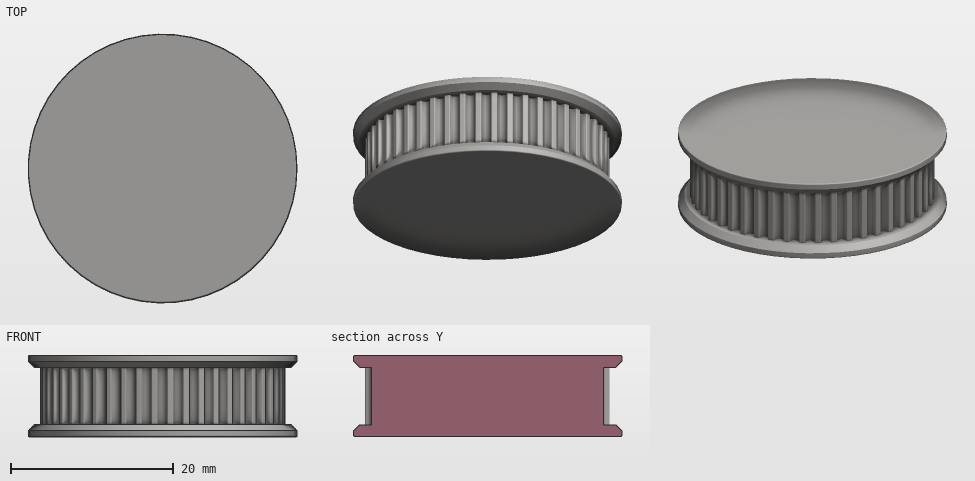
import cadquery as cq
import math

flange_diameter = 33.0
total_height = 10.0

flange_thickness = 1.5
flange_bevel = 0.75
outer_edge_radius = 0.15

tooth_count = 48
belt_pitch = 2.0
pitch_line_offset = 0.254
groove_depth = 0.75
groove_radius = 0.555
flank_radius = 1.0
tip_radius = 0.15

flange_radius = flange_diameter / 2
tip_circle_radius = tooth_count * belt_pitch / (2 * math.pi) - pitch_line_offset
flank_center_offset = math.sqrt((flank_radius - groove_radius) ** 2 - (groove_depth - groove_radius) ** 2)
belt_height = total_height - 2 * flange_thickness
tooth_angle = 360 / tooth_count


def make_flanged_body():
    """Solid of revolution: two bevelled, edge-rounded flanges joined by the toothless hub."""
    bevel_radius = flange_radius - flange_bevel
    bevel_start = flange_thickness - flange_bevel
    lower_half = [
        (flange_radius, 0),
        (flange_radius, bevel_start),
        (bevel_radius, flange_thickness),
        (tip_circle_radius, flange_thickness),
    ]
    upper_half = [(radius, total_height - z) for radius, z in reversed(lower_half)]
    section = [(0, 0)] + lower_half + upper_half + [(0, total_height)]
    body = cq.Workplane("XZ").polyline(section).close().revolve(360, (0, 0), (0, 1))
    return body.faces("<Z or >Z").edges().fillet(outer_edge_radius)


def point_on_circle(center, radius, angle):
    """Point at an angle (radians) on a circle."""
    return (center[0] + radius * math.cos(angle), center[1] + radius * math.sin(angle))


def mirrored(point):
    """Mirror a point across the groove's centre line, the X axis."""
    return (point[0], -point[1])


def make_groove_cutter():
    """One groove on the +X side: round bottom, curved flanks, rounded tooth tips.

    The points and angles below belong to the +Y half; the other half is its mirror image.
    """
    flank_center = (tip_circle_radius, -flank_center_offset)
    bottom_center = (tip_circle_radius - groove_depth + groove_radius, 0)
    groove_bottom = (tip_circle_radius - groove_depth, 0)
    flank_start_angle = math.atan2(flank_center_offset, bottom_center[0] - flank_center[0])

    flank_distance = math.hypot(*flank_center)
    tip_distance = tip_circle_radius - tip_radius
    flank_to_tip = flank_radius + tip_radius
    axis_angle_cosine = (flank_distance**2 + tip_distance**2 - flank_to_tip**2) / (
        2 * flank_distance * tip_distance
    )
    tip_angle = math.atan2(flank_center[1], flank_center[0]) + math.acos(axis_angle_cosine)
    tip_center = point_on_circle((0, 0), tip_distance, tip_angle)
    flank_end_angle = math.atan2(tip_center[1] - flank_center[1], tip_center[0] - flank_center[0])

    flank_start = point_on_circle(flank_center, flank_radius, flank_start_angle)
    flank_middle = point_on_circle(flank_center, flank_radius, (flank_start_angle + flank_end_angle) / 2)
    flank_end = point_on_circle(flank_center, flank_radius, flank_end_angle)
    tip_middle_angle = (flank_end_angle - math.pi + tip_angle) / 2
    tip_middle = point_on_circle(tip_center, tip_radius, tip_middle_angle)
    tip_end = point_on_circle((0, 0), tip_circle_radius, tip_angle)

    return (
        cq.Workplane("XY", origin=(0, 0, flange_thickness))
        .moveTo(*mirrored(tip_end))
        .threePointArc(mirrored(tip_middle), mirrored(flank_end))
        .threePointArc(mirrored(flank_middle), mirrored(flank_start))
        .threePointArc(groove_bottom, flank_start)
        .threePointArc(flank_middle, flank_end)
        .threePointArc(tip_middle, tip_end)
        .threePointArc((tip_circle_radius, 0), mirrored(tip_end))
        .close()
        .extrude(belt_height)
    )


def cut_grooves(body):
    """Cut the grooves evenly round the hub, one of them centred on +X."""
    groove = make_groove_cutter().val()
    cutters = [
        groove.rotate(cq.Vector(0, 0, 0), cq.Vector(0, 0, 1), index * tooth_angle)
        for index in range(tooth_count)
    ]
    return body.cut(cq.Workplane(cq.Compound.makeCompound(cutters)))


result = cut_grooves(make_flanged_body())